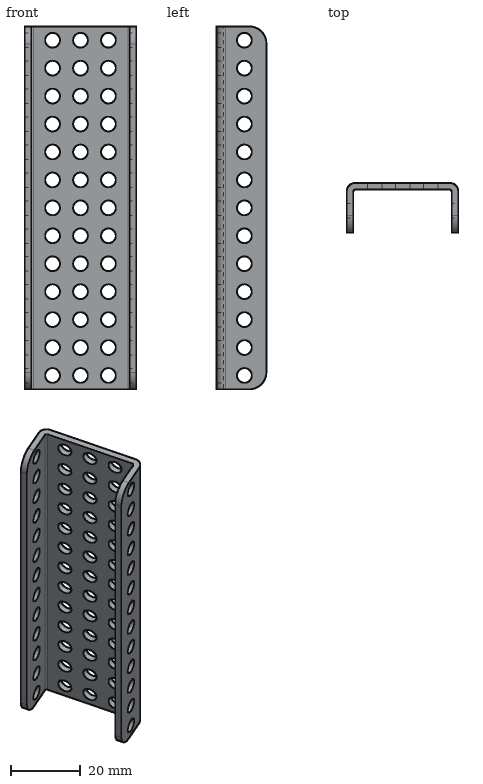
import cadquery as cq

length = 104.0
width = 32.0
depth = 14.4

sheet = 2.0
outer_bend_radius = 2.5
inner_bend_radius = outer_bend_radius - sheet
flange_corner_radius = 5.0

hole_diameter = 4.2
row_count = 13
web_column_count = 3
pitch = length / row_count
back = depth / 2
flange_hole_y = back - pitch


def bent_channel():
    """U-shaped sheet with its web on the +Y side and flanges toward -Y."""
    outer = (
        cq.Workplane("XY")
        .box(width, depth, length)
        .edges("|Z and >Y")
        .fillet(outer_bend_radius)
    )
    inner = (
        cq.Workplane("XY")
        .box(width - 2 * sheet, depth, length)
        .edges("|Z and >Y")
        .fillet(inner_bend_radius)
        .translate((0, -sheet, 0))
    )
    return outer.cut(inner)


def web_holes():
    """Grid of cylinders passing through the web along Y."""
    return (
        cq.Workplane("XZ", origin=(0, back, 0))
        .rarray(pitch, pitch, web_column_count, row_count)
        .circle(hole_diameter / 2)
        .extrude(sheet)
    )


def flange_holes():
    """Column of cylinders passing through both flanges along X."""
    return (
        cq.Workplane("YZ", origin=(0, flange_hole_y, 0))
        .rarray(pitch, pitch, 1, row_count)
        .circle(hole_diameter / 2)
        .extrude(width / 2, both=True)
    )


channel = bent_channel()
channel = channel.edges("|X and <Y").fillet(flange_corner_radius)
result = channel.cut(web_holes()).cut(flange_holes())